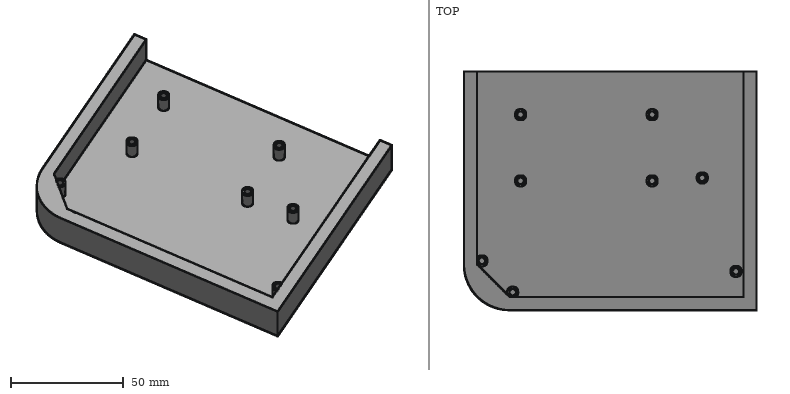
import cadquery as cq

LENGTH = 130.2
WIDTH = 106.3
HEIGHT = 18.0

WALL = 6.0
FLOOR = 3.0
CORNER_RADIUS = 20.5

POST_DIAMETER = 5.0
POST_HOLE_DIAMETER = 3.0
POST_HEIGHT = 8.0

GROUP_LEFT = 25.3
GROUP_FRONT = 57.6
GROUP_LENGTH = 58.5
GROUP_WIDTH = 29.5
GROUP_POSTS = [
    (GROUP_LEFT + dx, GROUP_FRONT + dy)
    for dx in (0, GROUP_LENGTH)
    for dy in (0, GROUP_WIDTH)
]

SINGLE_POSTS = [
    (106.0, 58.9),
    (121.0, 17.3),
    (8.1, 22.0),
    (21.8, 8.1),
]


def outer_block():
    """Solid block with the front left corner rounded."""
    block = cq.Workplane("XY").box(LENGTH, WIDTH, HEIGHT, centered=False)
    return block.edges("|Z and <X and <Y").fillet(CORNER_RADIUS)


def cavity():
    """Space above the floor, open at the back, with a straight cut across the rounded corner."""
    right = LENGTH - WALL
    outline = [
        (WALL, CORNER_RADIUS),
        (CORNER_RADIUS, WALL),
        (right, WALL),
        (right, WIDTH),
        (WALL, WIDTH),
    ]
    return (
        cq.Workplane("XY", origin=(0, 0, FLOOR))
        .polyline(outline)
        .close()
        .extrude(HEIGHT - FLOOR)
    )


def cylinders(diameter):
    """One cylinder at every standoff position, rising from the floor."""
    return (
        cq.Workplane("XY", origin=(0, 0, FLOOR))
        .pushPoints(GROUP_POSTS + SINGLE_POSTS)
        .circle(diameter / 2)
        .extrude(POST_HEIGHT)
    )


tray = outer_block().cut(cavity())
result = tray.union(cylinders(POST_DIAMETER)).cut(cylinders(POST_HOLE_DIAMETER))